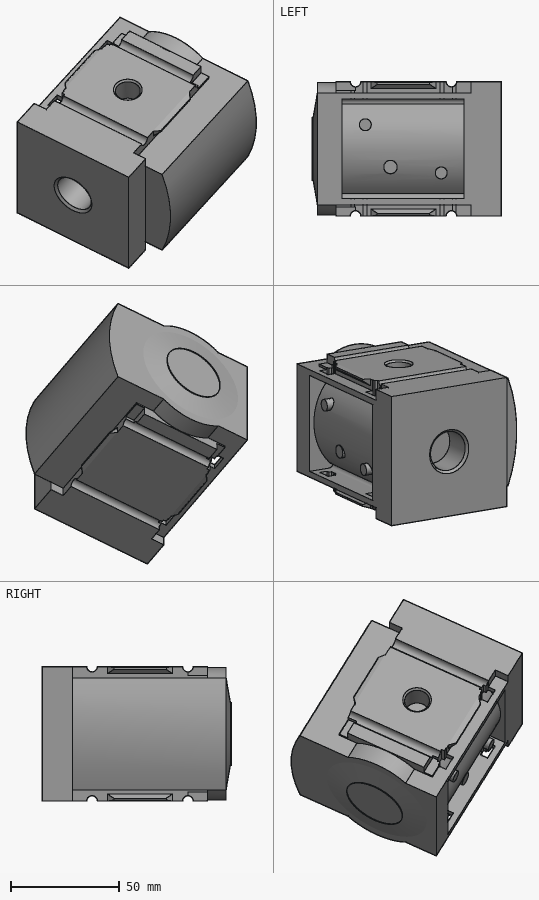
import cadquery as cq

body_width = 62.0
body_height = 62.0
half_width = body_width / 2
half_height = body_height / 2
port_block_depth = 14.0
body_depth = 84.8
ledge_depth = 5.2
half_core = half_height - ledge_depth

cover_flat_reach = 40.1
cover_reach = 44.8

slab_width = 48.6
half_slab = slab_width / 2
slab_back = 76.1
slab_groove_radius = 2.4
slab_groove_places = (23.0, 67.2)
corner_step_width = 4.4
corner_step_start = 67.2
corner_step_height = 1.0

rail_start = 30.2
rail_end = 60.0
rail_reach = 2.4
rail_taper = 2.8
rail_root_height = 3.2
rail_top_drop = 0.5
rail_edge_thickness = 0.8

window_start = 17.1
window_end = 73.4
half_window = 23.0
window_depth = 12.5
window_fillet = 2.0
barrel_radius = 28.7
half_barrel = 20.7

pins = (
    (5.5, 62.7, 11.1, 1.5),
    (6.2, 51.1, -8.4, 2.6),
    (5.5, 27.7, -11.1, 1.5),
)

slot_inset = 3.2
slot_length = 3.8
slot_width = 7.4
neck_length = 1.4
neck_width = 4.0
slot_places = (24.5, 65.7)

main_port_diameter = 18.63
main_port_mouth = 21.0
main_port_depth = 15.0
top_port_diameter = 11.45
top_port_mouth = 13.2
top_port_depth = 12.0
top_port_place = 45.2

boss_half_chord = 15.0
boss_top = 30.6
dome_base_radius = 26.0
dome_top_radius = 29.0 / 2
dome_height = 2.0
cap_height = 0.4


def box(x0, x1, y0, y1, z0, z1):
    """Box between opposite corner coordinates."""
    return cq.Workplane("XY").box(x1 - x0, y1 - y0, z1 - z0, centered=False).translate((x0, y0, z0))


def mirrored(shape, plane):
    """The shape together with its mirror image."""
    return shape.union(shape.mirror(plane))


def make_core():
    """Front port block, core and rounded cover."""
    block = box(-half_width, half_width, 0, port_block_depth, -half_height, half_height)
    core = (
        cq.Workplane("XZ", origin=(0, port_block_depth, 0))
        .moveTo(-half_width, -half_core)
        .lineTo(cover_flat_reach, -half_core)
        .threePointArc((cover_reach, 0), (cover_flat_reach, half_core))
        .lineTo(-half_width, half_core)
        .close()
        .extrude(port_block_depth - body_depth)
    )
    return block.union(core)


def make_rail():
    """Grip rail on the -X side of the upper slab, tapered at both ends."""
    root = -half_slab
    tip = root - rail_reach
    tip_top = half_height - rail_top_drop
    rail = (
        cq.Workplane("XZ", origin=(0, rail_start, 0))
        .polyline([
            (root, half_height),
            (tip, tip_top),
            (tip, tip_top - rail_edge_thickness),
            (root, half_height - rail_root_height),
        ])
        .close()
        .extrude(rail_start - rail_end)
    )
    plan = (
        cq.Workplane("XY")
        .polyline([
            (root, rail_start),
            (tip, rail_start + rail_taper),
            (tip, rail_end - rail_taper),
            (root, rail_end),
        ])
        .close()
        .extrude(half_height)
    )
    return rail.intersect(plan)


def make_upper_slab():
    """Raised slab with its cross grooves, rear corner steps and grip rails."""
    slab = box(-half_slab, half_slab, port_block_depth, slab_back, half_core, half_height)
    grooves = (
        cq.Workplane("YZ", origin=(-half_slab, 0, 0))
        .pushPoints([(place, half_height) for place in slab_groove_places])
        .circle(slab_groove_radius)
        .extrude(slab_width)
    )
    corner = box(
        -half_slab, corner_step_width - half_slab,
        corner_step_start, slab_back,
        half_core + corner_step_height, half_height,
    )
    slab = slab.cut(grooves).cut(mirrored(corner, "YZ"))
    return slab.union(mirrored(make_rail(), "YZ"))


def make_upper_boss():
    """Arched rear shoulder that rises above the core behind the slab."""
    return (
        cq.Workplane("XZ", origin=(0, slab_back, 0))
        .moveTo(-boss_half_chord, half_core)
        .threePointArc((0, boss_top), (boss_half_chord, half_core))
        .close()
        .extrude(slab_back - body_depth)
    )


def make_dome():
    """Shallow cone with a thin flat cap on the rear face."""
    dome_end = body_depth + dome_height
    return (
        cq.Workplane("XY")
        .polyline([
            (0, body_depth),
            (dome_base_radius, body_depth),
            (dome_top_radius, dome_end),
            (dome_top_radius, dome_end + cap_height),
            (0, dome_end + cap_height),
        ])
        .close()
        .revolve(360, (0, 0, 0), (0, 1, 0))
    )


def make_window():
    """Side recess with filleted inner edges, less the barrel that stands in it."""
    floor = window_depth - half_width
    recess = box(-half_width, floor, window_start, window_end, -half_window, half_window)
    recess = recess.edges(">X and |Y").fillet(window_fillet)
    barrel = (
        cq.Workplane("XZ", origin=(0, window_start, 0))
        .circle(barrel_radius)
        .extrude(window_start - window_end)
    )
    band = box(-half_width, floor, window_start, window_end, -half_barrel, half_barrel)
    return recess.cut(barrel.intersect(band))


def make_pin(diameter, y, z, tip_depth):
    """Pin along X from its tip to the inside of the barrel."""
    return (
        cq.Workplane("YZ", origin=(tip_depth - half_width, y, z))
        .circle(diameter / 2)
        .extrude(window_depth - tip_depth)
    )


def make_slot(place):
    """Vertical stepped slot from the window roof through the upper wall and slab."""
    slot_start = slot_inset - half_width
    slot_end = slot_start + slot_length
    outline = ((slot_start, slot_end, slot_width), (slot_start, slot_end + neck_length, neck_width))
    slot = cq.Workplane("XY")
    for x0, x1, width in outline:
        step = box(x0, x1, place - width / 2, place + width / 2, half_window, half_height)
        slot = slot.union(step)
    return slot


def make_port(diameter, mouth, depth):
    """Blind hole down from Z = 0 with a 45 degree countersunk mouth."""
    radius = diameter / 2
    mouth_radius = mouth / 2
    return (
        cq.Workplane("XZ")
        .polyline([
            (0, 0),
            (mouth_radius, 0),
            (radius, radius - mouth_radius),
            (radius, -depth),
            (0, -depth),
        ])
        .close()
        .revolve(360, (0, 0, 0), (0, 1, 0))
    )


result = make_core()
result = result.union(mirrored(make_upper_slab(), "XY"))
result = result.union(mirrored(make_upper_boss(), "XY"))
result = result.union(make_dome())
result = result.cut(make_window())
for slot_place in slot_places:
    result = result.cut(mirrored(make_slot(slot_place), "XY"))
for pin in pins:
    result = result.union(make_pin(*pin))

main_port = make_port(main_port_diameter, main_port_mouth, main_port_depth)
result = result.cut(main_port.rotate((0, 0, 0), (1, 0, 0), 90))
top_port = make_port(top_port_diameter, top_port_mouth, top_port_depth)
result = result.cut(top_port.translate((0, top_port_place, half_height)))